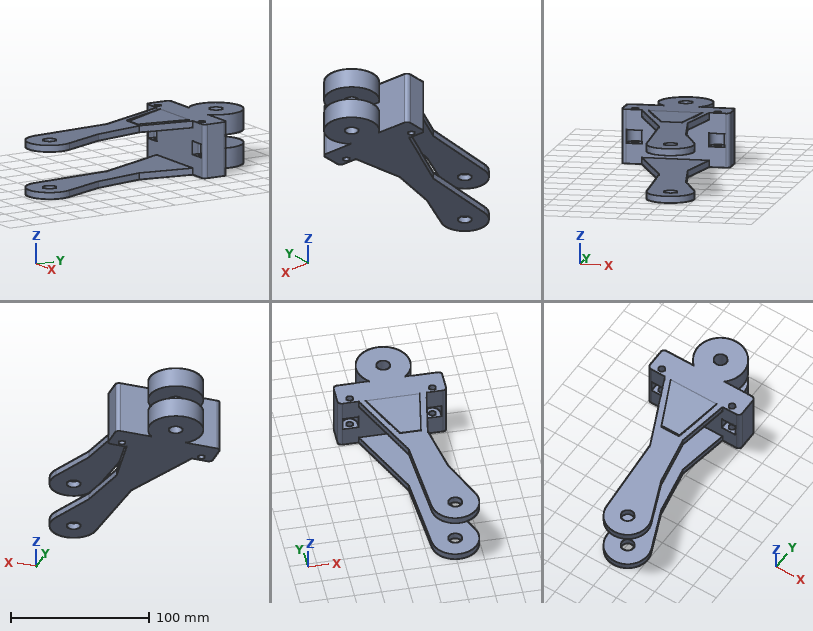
import math

import cadquery as cq

body_height = 40.0
top_z = body_height / 2

bar_length = 80.0
bar_depth = 20.0
bar_corner_radius = 3.0

ear_radius = 20.0
ear_pin_diameter = 10.0
ear_offset = 15.0
ear_center_y = bar_depth + ear_offset
ear_gap = 10.0

arm_thickness = 5.0
arm_root_half_width = 25.0
arm_left_bend = (0.6, -58.0)
arm_right_waist = (17.9, -41.0)
arm_right_bend = (25.2, -80.5)
arm_end_radius = 17.5
arm_end_center = (bar_length / 2 - arm_end_radius, -120.0)
arm_pin_diameter = 10.0

recess_root_half_width = 20.0
recess_end_left_x = -2.0
recess_end_right_x = 13.2
recess_length = 39.5
recess_end_slope_run = 1.8
recess_depth = 1.25

bolt_spacing = 61.0
bolt_center_x = -0.25
bolt_y = 4.5
bolt_diameter = 5.0
nut_slot_width = 11.6
nut_slot_height = 10.0


def tangent_point(point, center, radius, side):
    """Where a line from a point touches a circle; side is +1 or -1 around the center."""
    dx = point[0] - center[0]
    dy = point[1] - center[1]
    distance = math.hypot(dx, dy)
    angle = math.atan2(dy, dx) + side * math.acos(radius / distance)
    return (center[0] + radius * math.cos(angle), center[1] + radius * math.sin(angle))


def make_crossbar():
    bar = cq.Workplane("XY").box(bar_length, bar_depth, body_height, centered=(True, False, True))
    return bar.edges("|Z").fillet(bar_corner_radius)


def make_ears():
    ears = cq.Workplane("XY").center(0, ear_center_y).circle(ear_radius).extrude(top_z, both=True)
    rear_length = ear_center_y + ear_radius - bar_depth
    gap = cq.Workplane("XY").box(2 * ear_radius, rear_length, ear_gap, centered=(True, False, True))
    ears = ears.cut(gap.translate((0, bar_depth, 0)))
    pin = cq.Workplane("XY").center(0, ear_center_y).circle(ear_pin_diameter / 2)
    return ears.cut(pin.extrude(top_z, both=True))


def make_arm(bottom_z):
    left_tangent = tangent_point(arm_left_bend, arm_end_center, arm_end_radius, 1)
    right_tangent = tangent_point(arm_right_bend, arm_end_center, arm_end_radius, -1)
    arm_tip = (arm_end_center[0], arm_end_center[1] - arm_end_radius)
    arm = (
        cq.Workplane("XY")
        .workplane(offset=bottom_z)
        .moveTo(-arm_root_half_width, 0)
        .lineTo(*arm_left_bend)
        .lineTo(*left_tangent)
        .threePointArc(arm_tip, right_tangent)
        .lineTo(*arm_right_bend)
        .lineTo(*arm_right_waist)
        .lineTo(arm_root_half_width, 0)
        .close()
        .extrude(arm_thickness)
    )
    return arm.faces(">Z").workplane(origin=(*arm_end_center, 0)).hole(arm_pin_diameter)


def make_recess():
    """Trapezoid in plan; the floor falls from the crossbar and rises in a short end slope."""
    outline = (
        cq.Workplane("XY")
        .moveTo(-recess_root_half_width, 0)
        .lineTo(recess_end_left_x, -recess_length)
        .lineTo(recess_end_right_x, -recess_length)
        .lineTo(recess_root_half_width, 0)
        .close()
        .extrude(top_z)
    )
    wedge = (
        cq.Workplane("YZ")
        .moveTo(0, top_z)
        .lineTo(recess_end_slope_run - recess_length, top_z - recess_depth)
        .lineTo(-recess_length, top_z)
        .close()
        .extrude(recess_root_half_width, both=True)
    )
    return outline.intersect(wedge)


def make_bolt_cut(x):
    bolt = cq.Workplane("XY").center(x, bolt_y).circle(bolt_diameter / 2).extrude(top_z, both=True)
    slot_end = cq.Workplane("XY").circle(nut_slot_width / 2).extrude(nut_slot_height)
    slot_end = slot_end.translate((x, bolt_y, -nut_slot_height / 2))
    slot_mouth = cq.Workplane("XY").box(
        nut_slot_width, bolt_y, nut_slot_height, centered=(True, False, True)
    )
    return bolt.union(slot_end).union(slot_mouth.translate((x, 0, 0)))


result = make_crossbar().union(make_ears())
for arm_bottom_z in (-top_z, top_z - arm_thickness):
    result = result.union(make_arm(arm_bottom_z))
result = result.cut(make_recess())
for side in (-1, 1):
    result = result.cut(make_bolt_cut(bolt_center_x + side * bolt_spacing / 2))